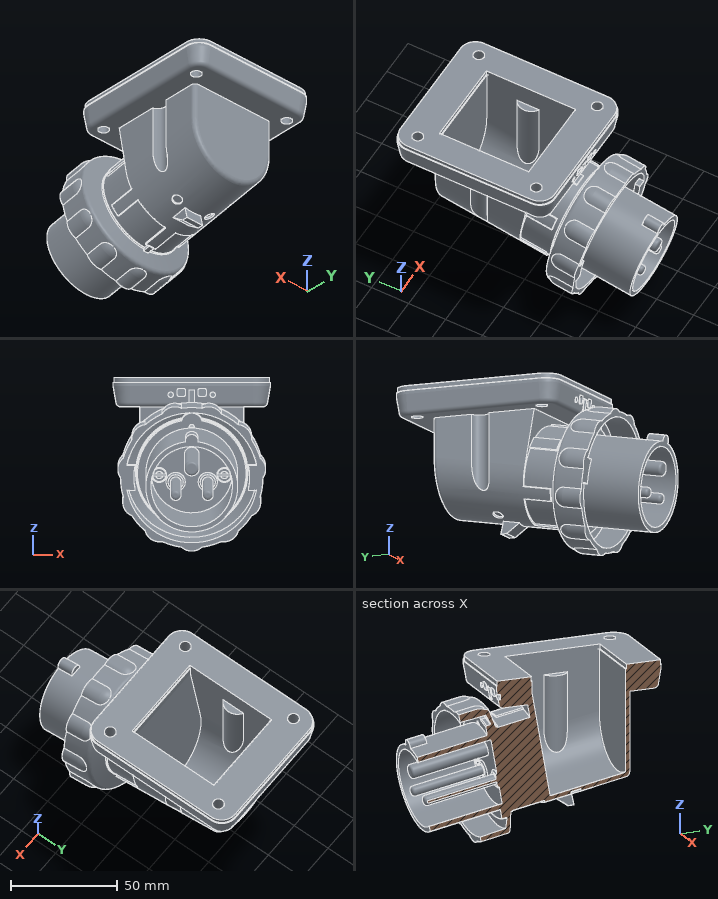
import cadquery as cq
import math

PLATE_WIDTH = 74.0
PLATE_LENGTH = 84.0
PLATE_CORNER = 8.0
GASKET_HEIGHT = 2.4
GASKET_INSET = 0.4
PLATE_BAND = 1.9
PLATE_BOTTOM = -13.9
PLATE_TAPER = 10.0
PLATE_EDGE_FILLET = 2.3
HOLE_DIAMETER = 5.5
HOLE_SPACING_X = 58.0
HOLE_SPACING_Y = 64.0
WINDOW_WIDTH = 44.5
WINDOW_LENGTH = 48.2
WINDOW_LEDGE = 0.4

MARK_DEPTH = 2.0
SQUARE_MARK = 3.9
SQUARE_MARK_CORNER = 1.0
SQUARE_MARK_X = 4.9
SQUARE_MARK_Z = -7.1
SLOT_WIDTH = 2.8
SLOT_TOP = -6.0
SLOT_BOTTOM = -11.8
DOT_DIAMETER = 2.5
DOT_X = 9.9
DOT_Z = -8.2

TILT = math.radians(10.0)
AXIS_Z = -37.45

HOUSING_RADIUS = 24.5
WALL = 2.25
HOUSING_BACK_Y = 26.1
HOUSING_FRONT = 21.6
HOUSING_BACK_FILLET = 2.3
CAVITY_BACK_Y = HOUSING_BACK_Y - WALL
CAVITY_FRONT = 18.2
CAVITY_BACK_FILLET = 0.8
CHANNEL_RADIUS = 4.6
CHANNEL_X = 25.5
CHANNEL_Y = 1.6

RECESS_DIAMETER = 5.0
RECESS_DEPTH = 1.0
RECESS_ANGLE = 25.0
RECESS_DISTANCE = 5.2
FIN_WIDTH = 10.0
FIN_PROFILE = [(-2.1, -60.0), (-0.3, -68.2), (-3.4, -68.2), (-9.9, -63.6), (-9.9, -60.0)]

COLLAR_RADIUS = 23.7
PAD_RADIUS = HOUSING_RADIUS
PAD_WIDTH = 6.2
PAD_END = 35.6
PAD_COUNT = 6
INDEX_TAB_WIDTH = 3.0
INDEX_TAB_HEIGHT = 25.0
INDEX_TAB_START = 35.1

NUT_BACK = 38.0
NUT_HUB_RADIUS = 24.0
NUT_CONE_START = 38.8
NUT_SHOULDER = 41.0
NUT_FRONT = 56.2
NUT_RADIUS = 33.5
NUT_BORE_RADIUS = 31.0
NUT_FLOOR = 43.0
NUT_GROOVE_RADIUS = 26.4
NUT_GROOVE_FLOOR = 41.5
NUT_FLOOR_RADIUS = 30.7
NUT_EDGE_FILLET = 2.0
LOBE_COUNT = 11
LOBE_RADIUS = 7.1
LOBE_TIP_RADIUS = 35.01
LOBE_START = 47.0
LUG_INNER_RADIUS = 27.2
LUG_THICKNESS = 2.6
LUG_WIDTH = 11.9

FLANGE_RADIUS = 26.0
FLANGE_FRONT = 44.0
FLANGE_CHAMFER = 0.5
FLANGE_KEY_WIDTH = 10.0
FLANGE_KEY_RADIUS = 28.7
FLANGE_DOT_RADIUS = 21.9
SLEEVE_RADIUS = 43.2 / 2
SLEEVE_BORE_RADIUS = 38.2 / 2
SLEEVE_FRONT = 80.2
SLEEVE_FLOOR = 42.6
KEY_WIDTH = 6.0
KEY_TOP = 24.9
KEY_START = 71.8
PIN_CIRCLE_RADIUS = 8.7
PIN_ANGLE = 120.0
EARTH_PIN_DIAMETER = 7.0
EARTH_PIN_END = 81.6
PIN_DIAMETER = 5.0
PIN_END = 80.0
PIN_TIP_FILLET = 1.5
EARTH_PIN_TIP_FILLET = 1.25
PIN_COLLAR_BASE = 9.0
PIN_COLLAR_TOP = 7.1
PIN_COLLAR_HEIGHT = 0.8
SCREW_DIAMETER = 7.0
SCREW_HEAD_DIAMETER = 6.3
SCREW_DIMPLE_DIAMETER = 3.4
SCREW_X = 15.3
SCREW_HEIGHT = -1.1
SCREW_RECESS = 0.5
SCREW_SLOT = 0.9

FAR = 100.0
SELECT_MARGIN = 0.1


def on_axis(distance):
    """Workplane across the plug axis: local X is X, local Y is up, normal points out of the plug."""
    normal = cq.Vector(0, -math.cos(TILT), -math.sin(TILT))
    origin = cq.Vector(0, 0, AXIS_Z) + normal * distance
    return cq.Workplane(cq.Plane(origin=origin, xDir=(1, 0, 0), normal=normal))


def place_on_axis(shape, distance=0.0, x=0.0, height=0.0):
    """Move a shape modelled along Z onto the plug axis."""
    plane = on_axis(distance).center(x, height).plane
    return cq.Workplane(shape.val().moved(cq.Location(plane)))


def axial_cylinder(radius, start, end, x=0.0, height=0.0):
    return on_axis(start).center(x, height).circle(radius).extrude(end - start)


def radial_bar(width, inner, outer, start, end, angle):
    """Block reaching out from the plug axis; angle is measured from straight up."""
    bar = cq.Workplane("XY").box(width, outer - inner, end - start, centered=(True, False, False))
    bar = bar.translate((0, inner, 0)).rotate((0, 0, 0), (0, 0, 1), angle)
    return place_on_axis(bar, start)


def make_plate():
    gasket = (
        cq.Workplane("XY")
        .rect(PLATE_WIDTH - 2 * GASKET_INSET, PLATE_LENGTH - 2 * GASKET_INSET)
        .extrude(-GASKET_HEIGHT)
        .edges("|Z")
        .fillet(PLATE_CORNER)
    )
    band = (
        cq.Workplane("XY")
        .workplane(offset=-GASKET_HEIGHT)
        .rect(PLATE_WIDTH, PLATE_LENGTH)
        .extrude(-PLATE_BAND)
        .edges("|Z")
        .fillet(PLATE_CORNER)
    )
    skirt_top = -GASKET_HEIGHT - PLATE_BAND
    skirt = (
        band.faces("<Z")
        .wires()
        .toPending()
        .workplane()
        .extrude(skirt_top - PLATE_BOTTOM, taper=PLATE_TAPER, combine=False)
        .faces("<Z")
        .edges()
        .fillet(PLATE_EDGE_FILLET)
    )
    return gasket.union(band).union(skirt)


def elbow(radius, back_y, front, top, back_fillet):
    """Round-bottomed trough along the plug axis, cut square at the back and at the top."""
    start = -FAR / 2
    trough = (
        on_axis(start)
        .moveTo(-radius, 0)
        .threePointArc((0, -radius), (radius, 0))
        .lineTo(radius, FAR)
        .lineTo(-radius, FAR)
        .close()
        .extrude(front - start)
    )
    limit = cq.Workplane("XY").box(FAR, FAR, FAR, centered=(True, False, False))
    limit = limit.translate((0, back_y - FAR, top - FAR))
    return trough.intersect(limit).faces(">Y").edges("not >Z").fillet(back_fillet)


def channel(radius, top, side):
    """Upright cylinder sunk into one side wall of the housing."""
    return (
        cq.Workplane("XY")
        .workplane(offset=top)
        .center(side * CHANNEL_X, CHANNEL_Y)
        .circle(radius)
        .extrude(-FAR)
    )


def make_fin():
    return cq.Workplane("YZ").polyline(FIN_PROFILE).close().extrude(FIN_WIDTH / 2, both=True)


def bottom_recess(angle):
    """Cutter for a round recess in the housing's underside, turned from straight down by the angle."""
    drill = cq.Workplane("XY").circle(RECESS_DIAMETER / 2).extrude(-RECESS_DEPTH * 2)
    drill = drill.rotate((0, 0, 0), (1, 0, 0), -90)
    drill = drill.translate((0, RECESS_DEPTH - HOUSING_RADIUS, 0)).rotate((0, 0, 0), (0, 0, 1), angle)
    return place_on_axis(drill, RECESS_DISTANCE)


def make_collar():
    collar = axial_cylinder(COLLAR_RADIUS, CAVITY_FRONT, NUT_SHOULDER)
    for i in range(PAD_COUNT):
        bar = radial_bar(PAD_WIDTH, SLEEVE_RADIUS, FAR, CAVITY_FRONT, PAD_END, i * 360 / PAD_COUNT)
        collar = collar.union(bar.intersect(axial_cylinder(PAD_RADIUS, CAVITY_FRONT, PAD_END)))
    tab = radial_bar(INDEX_TAB_WIDTH, SLEEVE_RADIUS, INDEX_TAB_HEIGHT, INDEX_TAB_START, NUT_SHOULDER, 180)
    return collar.union(tab)


def make_nut():
    blank = (
        cq.Workplane("XZ")
        .moveTo(COLLAR_RADIUS, NUT_BACK)
        .lineTo(NUT_HUB_RADIUS, NUT_BACK)
        .lineTo(NUT_HUB_RADIUS, NUT_CONE_START)
        .lineTo(NUT_RADIUS, NUT_SHOULDER)
        .lineTo(NUT_RADIUS, NUT_FRONT)
        .lineTo(COLLAR_RADIUS, NUT_FRONT)
        .close()
        .revolve(360, (0, 0, 0), (0, 1, 0))
    )
    shoulder = cq.selectors.BoxSelector(
        (-FAR, -FAR, NUT_SHOULDER - SELECT_MARGIN),
        (FAR, FAR, NUT_SHOULDER + SELECT_MARGIN),
        boundingbox=True,
    )
    blank = blank.edges(shoulder).fillet(NUT_EDGE_FILLET)
    lobe_centre = LOBE_TIP_RADIUS - LOBE_RADIUS
    lobe = cq.Workplane("XY").circle(LOBE_RADIUS).extrude(NUT_FRONT - LOBE_START)
    lobe = lobe.union(cq.Workplane("XY").sphere(LOBE_RADIUS))
    lobe = lobe.translate((0, -lobe_centre, LOBE_START))
    for i in range(LOBE_COUNT):
        blank = blank.union(lobe.rotate((0, 0, 0), (0, 0, 1), i * 360 / LOBE_COUNT))
    bore = (
        cq.Workplane("XZ")
        .moveTo(0, NUT_GROOVE_FLOOR)
        .lineTo(NUT_GROOVE_RADIUS, NUT_GROOVE_FLOOR)
        .lineTo(NUT_FLOOR_RADIUS, NUT_FLOOR)
        .lineTo(NUT_BORE_RADIUS, NUT_FRONT)
        .lineTo(0, NUT_FRONT)
        .close()
        .revolve(360, (0, 0, 0), (0, 1, 0))
    )
    return place_on_axis(blank.cut(bore)).union(make_lugs())


def make_lugs():
    """Two bayonet lugs inside the mouth of the nut, flush with its front face."""
    start = NUT_FRONT - LUG_THICKNESS
    bar = on_axis(start).rect(NUT_BORE_RADIUS + NUT_RADIUS, LUG_WIDTH).extrude(LUG_THICKNESS)
    return bar.cut(axial_cylinder(LUG_INNER_RADIUS, start, NUT_FRONT))


def pin_position(angle):
    """X and height of a pin on the pin circle, with the angle measured from straight up."""
    return (
        PIN_CIRCLE_RADIUS * math.sin(math.radians(angle)),
        PIN_CIRCLE_RADIUS * math.cos(math.radians(angle)),
    )


def make_pin(diameter, end, tip_fillet, angle):
    pin = cq.Workplane("XY").circle(diameter / 2).extrude(end - SLEEVE_FLOOR)
    pin = pin.faces(">Z").edges().fillet(tip_fillet)
    return place_on_axis(pin, SLEEVE_FLOOR, *pin_position(angle))


def make_pin_collar(angle):
    collar = (
        cq.Workplane("XY")
        .circle(PIN_COLLAR_BASE / 2)
        .workplane(offset=PIN_COLLAR_HEIGHT)
        .circle(PIN_COLLAR_TOP / 2)
        .loft()
    )
    return place_on_axis(collar, SLEEVE_FLOOR, *pin_position(angle))


def screw_recess(x):
    """Cutter for a slotted screw head sunk into the sleeve floor: rim gap, slot and dimple."""
    start = SLEEVE_FLOOR - SCREW_RECESS
    disc = axial_cylinder(SCREW_DIAMETER / 2, start, SLEEVE_FLOOR, x, SCREW_HEIGHT)
    rim = disc.cut(axial_cylinder(SCREW_HEAD_DIAMETER / 2, start, SLEEVE_FLOOR, x, SCREW_HEIGHT))
    slot = on_axis(start).center(x, SCREW_HEIGHT).rect(SCREW_DIAMETER, SCREW_SLOT).extrude(SCREW_RECESS)
    dimple_start = SLEEVE_FLOOR - SCREW_RECESS / 2
    dimple = axial_cylinder(SCREW_DIMPLE_DIAMETER / 2, dimple_start, SLEEVE_FLOOR, x, SCREW_HEIGHT)
    cutter = rim.union(slot.intersect(disc)).union(dimple)
    return cutter.intersect(axial_cylinder(SLEEVE_BORE_RADIUS, start, SLEEVE_FLOOR))


def rounded_key(width, inner, top, start, end):
    """Key on the upper side of the plug with a half-round top."""
    bar = radial_bar(width, inner, top - width / 2, start, end, 0)
    return bar.union(axial_cylinder(width / 2, start, end, 0, top - width / 2))


def make_insert():
    flange = cq.Workplane("XY").circle(FLANGE_RADIUS).extrude(FLANGE_FRONT - NUT_SHOULDER)
    flange = flange.faces(">Z").edges().chamfer(FLANGE_CHAMFER)
    insert = place_on_axis(flange, NUT_SHOULDER)
    insert = insert.union(
        rounded_key(FLANGE_KEY_WIDTH, SLEEVE_RADIUS, FLANGE_KEY_RADIUS, NUT_SHOULDER, FLANGE_FRONT)
    )
    dot = (
        on_axis(NUT_FLOOR)
        .moveTo(-DOT_DIAMETER / 2, FLANGE_DOT_RADIUS)
        .threePointArc(
            (0, FLANGE_DOT_RADIUS + DOT_DIAMETER / 2), (DOT_DIAMETER / 2, FLANGE_DOT_RADIUS)
        )
        .close()
        .extrude(FLANGE_FRONT - NUT_FLOOR)
    )
    insert = insert.cut(dot)
    insert = insert.union(axial_cylinder(SLEEVE_RADIUS, SLEEVE_FLOOR, SLEEVE_FRONT))
    insert = insert.union(rounded_key(KEY_WIDTH, SLEEVE_BORE_RADIUS, KEY_TOP, KEY_START, SLEEVE_FRONT))
    insert = insert.cut(axial_cylinder(SLEEVE_BORE_RADIUS, SLEEVE_FLOOR, SLEEVE_FRONT))
    insert = insert.union(make_pin(EARTH_PIN_DIAMETER, EARTH_PIN_END, EARTH_PIN_TIP_FILLET, 0))
    for angle in (PIN_ANGLE, -PIN_ANGLE):
        insert = insert.union(make_pin(PIN_DIAMETER, PIN_END, PIN_TIP_FILLET, angle))
        insert = insert.union(make_pin_collar(angle))
    for x in (-SCREW_X, SCREW_X):
        insert = insert.cut(screw_recess(x))
    return insert


def cut_plate_marks(body):
    face_y = -PLATE_LENGTH / 2
    depth = MARK_DEPTH
    wp = cq.Workplane("XZ", origin=(0, face_y + depth, 0))
    slot_middle = (SLOT_TOP + SLOT_BOTTOM) / 2
    body = body.cut(wp.center(0, slot_middle).rect(SLOT_WIDTH, SLOT_TOP - SLOT_BOTTOM).extrude(depth))
    squares = wp.pushPoints([(-SQUARE_MARK_X, SQUARE_MARK_Z), (SQUARE_MARK_X, SQUARE_MARK_Z)])
    squares = squares.rect(SQUARE_MARK, SQUARE_MARK).extrude(depth).edges("|Y").fillet(SQUARE_MARK_CORNER)
    dots = wp.pushPoints([(-DOT_X, DOT_Z), (DOT_X, DOT_Z)]).circle(DOT_DIAMETER / 2).extrude(depth)
    return body.cut(squares).cut(dots)


def cut_plate_openings(body):
    holes = (
        cq.Workplane("XY")
        .rect(HOLE_SPACING_X, HOLE_SPACING_Y, forConstruction=True)
        .vertices()
        .circle(HOLE_DIAMETER / 2)
        .extrude(PLATE_BOTTOM)
    )
    window = cq.Workplane("XY").rect(WINDOW_WIDTH, WINDOW_LENGTH).extrude(-GASKET_HEIGHT)
    return body.cut(holes).cut(window)


def make_housing():
    top = -GASKET_HEIGHT - PLATE_BAND
    outer = elbow(HOUSING_RADIUS, HOUSING_BACK_Y, HOUSING_FRONT, top, HOUSING_BACK_FILLET)
    cavity = elbow(HOUSING_RADIUS - WALL, CAVITY_BACK_Y, CAVITY_FRONT, -GASKET_HEIGHT, CAVITY_BACK_FILLET)
    window_prism = cq.Workplane("XY").rect(WINDOW_WIDTH, WINDOW_LENGTH - 2 * WINDOW_LEDGE).extrude(-FAR)
    cavity = cavity.intersect(window_prism)
    for side in (-1, 1):
        cavity = cavity.cut(channel(CHANNEL_RADIUS + WALL, PLATE_BOTTOM + WALL, side))
    body = make_plate().union(outer).union(make_fin()).cut(cavity)
    for side in (-1, 1):
        body = body.cut(channel(CHANNEL_RADIUS, PLATE_BOTTOM, side))
        body = body.cut(bottom_recess(side * RECESS_ANGLE))
    return cut_plate_marks(cut_plate_openings(body))


result = make_housing().union(make_collar()).union(make_nut()).union(make_insert())